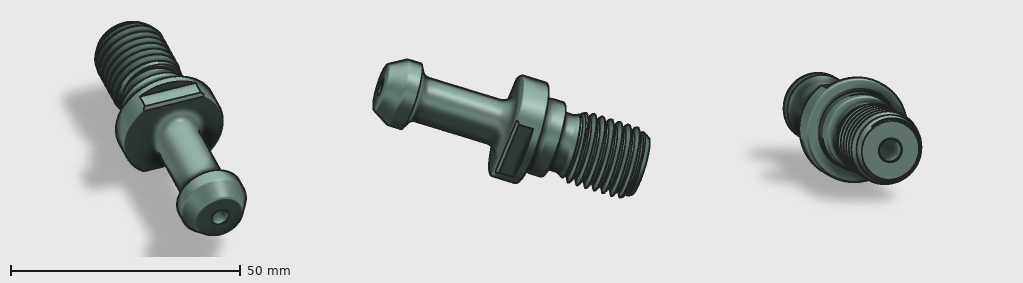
import math

import cadquery as cq


quarter_turn = math.pi / 2

overall_length = 60.0
shoulder_x = 20.0
flange_x = 25.0
flange_thickness = 6.0
flange_back_x = flange_x + flange_thickness
flange_to_head = 28.0
head_x = flange_x + flange_to_head
full_rim_width = 2.0
flat_start_x = flange_x + full_rim_width

end_face_radius = 6.5
neck_radius = 6.5
pilot_radius = 8.5
flange_radius = 11.5
shank_radius = 5.0
head_radius = 7.5

thread_radius = 8.0
thread_pitch = 2.0
thread_depth = 0.6134 * thread_pitch
thread_root_radius = thread_radius - thread_depth
thread_root_width = thread_pitch / 4
thread_half_angle = math.radians(30)
thread_lead_in = 0.57
thread_turns = 9
cutter_overshoot = 0.15
blank_margin = 5.0

end_chamfer_angle = math.radians(30)
neck_cone_angle = math.radians(30)
neck_corner_x = 17.05
neck_split_x = 18.5
head_cone_angle = math.radians(60)
nose_cone_angle = math.radians(30)
nose_corner_x = 56.07

undercut_start_x = 23.04
undercut_depth = 0.3
undercut_angle = math.radians(15)
undercut_fillet = 0.6
undercut_arc_x = 24.65

neck_cone_fillet = 1.5
neck_fillet = 1.0
edge_fillet = 0.5
shank_flange_fillet = 3.0
shank_head_fillet = 2.0
head_fillet = 1.0
nose_fillet = 0.8

flat_height = 9.5
flat_bevel = 0.7

bore_radius = 2.0
entry_radius = 2.5
entry_depth = flange_x
entry_chamfer = 0.15
bore_step_angle = math.radians(60)


def point_on_circle(center, radius, angle):
    return (center[0] + radius * math.cos(angle), center[1] + radius * math.sin(angle))


def arc(profile, center, radius, start, end):
    """Draw a line to the start of an arc, then the arc itself (angles in radians)."""
    middle = point_on_circle(center, radius, (start + end) / 2)
    return profile.lineTo(*point_on_circle(center, radius, start)).threePointArc(
        middle, point_on_circle(center, radius, end)
    )


def revolve_outline(profile):
    """Revolve a half outline (X, radius) about the X axis."""
    return profile.close().revolve(360, (0, 0, 0), (1, 0, 0))


def threaded_end_blank():
    """Unthreaded end: lead-in chamfer, thread diameter and the start of the relief neck."""
    chamfer_length = (thread_radius - end_face_radius) / math.tan(end_chamfer_angle)
    neck_cone_length = (thread_radius - neck_radius) / math.tan(neck_cone_angle)
    profile = (
        cq.Workplane("XZ")
        .lineTo(0, end_face_radius)
        .lineTo(chamfer_length, thread_radius)
        .lineTo(neck_corner_x - neck_cone_length, thread_radius)
    )
    tangent = neck_cone_fillet * math.tan(neck_cone_angle / 2)
    center = (neck_corner_x + tangent, neck_radius + neck_cone_fillet)
    profile = arc(profile, center, neck_cone_fillet, -quarter_turn - neck_cone_angle, -quarter_turn)
    profile = profile.lineTo(neck_split_x, neck_radius).lineTo(neck_split_x, 0)
    return revolve_outline(profile)


def turned_body():
    """Everything behind the neck: pilot, flange, shank and head."""
    profile = cq.Workplane("XZ").moveTo(neck_split_x, 0).lineTo(neck_split_x, neck_radius)
    center = (shoulder_x - neck_fillet, neck_radius + neck_fillet)
    profile = arc(profile, center, neck_fillet, -quarter_turn, 0)

    center = (shoulder_x + edge_fillet, pilot_radius - edge_fillet)
    profile = arc(profile, center, edge_fillet, math.pi, quarter_turn)
    floor_radius = pilot_radius - undercut_depth
    center = (undercut_arc_x, floor_radius + undercut_fillet)
    arc_end = point_on_circle(center, undercut_fillet, -undercut_angle)
    face_rim_radius = arc_end[1] + (arc_end[0] - flange_x) / math.tan(undercut_angle)
    profile = profile.lineTo(undercut_start_x, pilot_radius).lineTo(
        undercut_start_x + undercut_depth / math.tan(undercut_angle), floor_radius
    )
    profile = arc(profile, center, undercut_fillet, -quarter_turn, -undercut_angle)
    profile = profile.lineTo(flange_x, face_rim_radius)

    center = (flange_x + edge_fillet, flange_radius - edge_fillet)
    profile = arc(profile, center, edge_fillet, math.pi, quarter_turn)
    center = (flange_back_x - edge_fillet, flange_radius - edge_fillet)
    profile = arc(profile, center, edge_fillet, quarter_turn, 0)

    center = (flange_back_x + shank_flange_fillet, shank_radius + shank_flange_fillet)
    profile = arc(profile, center, shank_flange_fillet, -math.pi, -quarter_turn)
    tangent = shank_head_fillet * math.tan(head_cone_angle / 2)
    cone_corner_x = head_x - (head_radius - shank_radius) / math.tan(head_cone_angle)
    center = (cone_corner_x - tangent, shank_radius + shank_head_fillet)
    profile = arc(profile, center, shank_head_fillet, -quarter_turn, -quarter_turn + head_cone_angle)

    profile = profile.lineTo(head_x, head_radius)
    tangent = head_fillet * math.tan(nose_cone_angle / 2)
    center = (nose_corner_x - tangent, head_radius - head_fillet)
    profile = arc(profile, center, head_fillet, quarter_turn, quarter_turn - nose_cone_angle)
    nose_end_radius = head_radius - (overall_length - nose_corner_x) * math.tan(nose_cone_angle)
    tangent = nose_fillet * math.tan((quarter_turn - nose_cone_angle) / 2)
    center = (overall_length - nose_fillet, nose_end_radius - tangent)
    profile = arc(profile, center, nose_fillet, quarter_turn - nose_cone_angle, 0)

    return revolve_outline(profile.lineTo(overall_length, 0))


def thread_cutter():
    """Sweep the groove section along a helix about Z, then lay it along X."""
    root_half = thread_root_width / 2
    cutter_height = thread_depth + cutter_overshoot
    mouth_half = root_half + cutter_height * math.tan(thread_half_angle)
    mouth_radius = thread_root_radius + cutter_height
    helix = cq.Wire.makeHelix(thread_pitch, thread_turns * thread_pitch, thread_root_radius)
    groove = (
        cq.Workplane("XZ")
        .moveTo(thread_root_radius, -root_half)
        .lineTo(mouth_radius, -mouth_half)
        .lineTo(mouth_radius, mouth_half)
        .lineTo(thread_root_radius, root_half)
        .close()
        .sweep(cq.Workplane(obj=helix), isFrenet=True)
    )
    return groove.rotate((0, 0, 0), (0, 1, 0), 90).translate((-thread_lead_in, 0, 0))


def threaded_end():
    """Thread a plain rod longer than the cutter, then trim it to the shape of the end."""
    rod_start = -thread_lead_in - blank_margin
    rod_length = thread_turns * thread_pitch + 2 * blank_margin
    rod = cq.Workplane("YZ").workplane(offset=rod_start).circle(thread_radius).extrude(rod_length)
    return threaded_end_blank().intersect(rod.cut(thread_cutter()))


def cut_wrench_flats(body):
    """Cut two opposite flats into the flange, each bevelled where it meets the back face."""
    cutter = (
        cq.Workplane("XZ")
        .moveTo(flat_start_x, flange_radius)
        .lineTo(flat_start_x, flat_height)
        .lineTo(flange_back_x - flat_bevel, flat_height)
        .lineTo(flange_back_x, flat_height - flat_bevel)
        .lineTo(flange_back_x, flange_radius)
        .close()
        .extrude(flange_radius, both=True)
    )
    return body.cut(cutter).cut(cutter.mirror("XY"))


def coolant_bore():
    """Through bore, wider from the threaded end, with a chamfered mouth."""
    cone_length = (entry_radius - bore_radius) / math.tan(bore_step_angle)
    profile = (
        cq.Workplane("XZ")
        .lineTo(0, entry_radius + entry_chamfer)
        .lineTo(entry_chamfer, entry_radius)
        .lineTo(entry_depth, entry_radius)
        .lineTo(entry_depth + cone_length, bore_radius)
        .lineTo(overall_length, bore_radius)
        .lineTo(overall_length, 0)
    )
    return revolve_outline(profile)


body = cut_wrench_flats(turned_body())
result = body.union(threaded_end()).cut(coolant_bore())